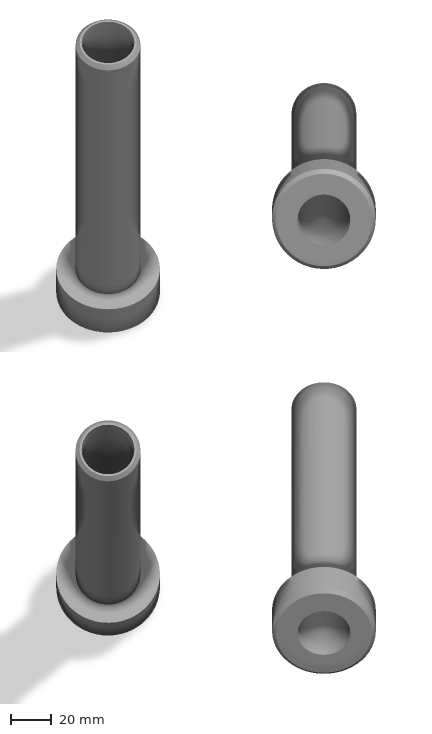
import cadquery as cq

total_length = 200.0
tube_diameter = 32.0
bore_diameter = 26.0
collar_diameter = 51.2
collar_height = 20.5
edge_chamfer = 2.0


def make_tube():
    """Full-length tube with a through bore and a chamfered top rim."""
    blank = cq.Workplane("XY").circle(tube_diameter / 2).extrude(total_length)
    chamfered = blank.faces(">Z").edges().chamfer(edge_chamfer)
    return chamfered.faces("<Z").workplane().circle(bore_diameter / 2).cutThruAll()


def make_collar():
    """Ring around the foot of the tube, chamfered on its lower outer edge."""
    blank = cq.Workplane("XY").circle(collar_diameter / 2).extrude(collar_height)
    chamfered = blank.faces("<Z").edges().chamfer(edge_chamfer)
    return chamfered.faces("<Z").workplane().circle(tube_diameter / 2).cutThruAll()


tube = make_tube()
collar = make_collar()

result = cq.Compound.makeCompound([tube.val(), collar.val()])